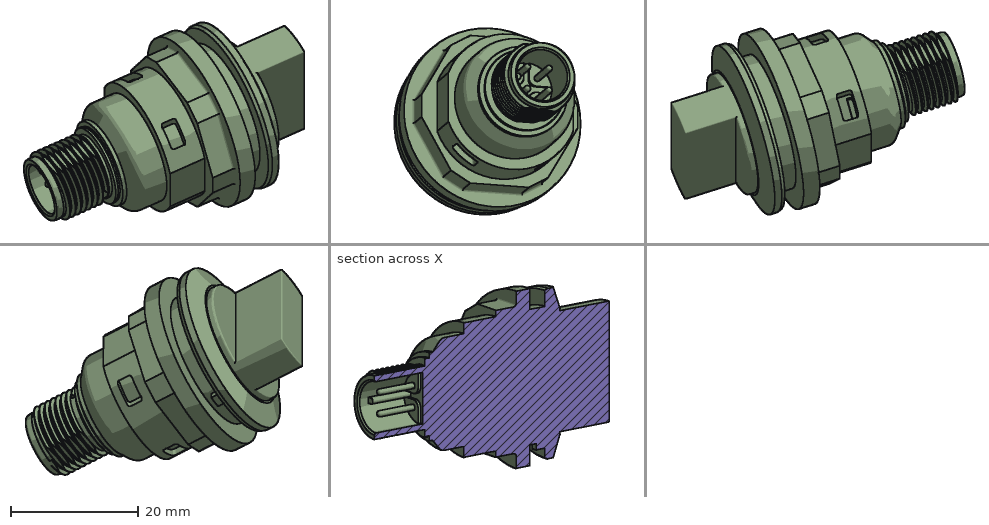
import cadquery as cq
import math


PLUG_TIP_R = 5.3
PLUG_TIP_CHAMFER_R = 0.1
PLUG_TIP_CHAMFER_LENGTH = 0.38
THREAD_ROOT_R = 5.22
THREAD_CREST_R = 5.88
THREAD_PITCH = 1.0
THREAD_TURNS = 7.75
THREAD_START_Y = 1.25
THREAD_ROOT_WIDTH = 0.85
THREAD_CREST_WIDTH = 0.1
THREAD_OVERLAP = 0.15
THREAD_START_ANGLE = 90
TIP_COLLAR_END_Y = 1.2
RELIEF_R = 5.4
RELIEF_START_Y = 9.4
RELIEF_END_Y = 9.95
PLUG_FLAT_HALF = 5.23

BORE_R = 8.3 / 2
BORE_DEPTH = 9.0
MOUTH_CHAMFER = 0.3
PIN_R = 0.5
PIN_SPACING = 3.54
PIN_TIP_Y = 2.0
GROOVE_DEPTH = 0.5
GROOVE_WIDTH_X = 1.0
GROOVE_WIDTH_Z = 0.84
GROOVE_CORNER_R = 1.2
KEY_WIDTH = 1.0
KEY_INNER_X = -2.97

STEP_1_R = 13.0 / 2
STEP_1_END_Y = 10.45
STEP_GROOVE_R = 6.4
STEP_GROOVE_END_Y = 10.8
STEP_2_R = 14.48 / 2
DOME_R = 18.5 / 2
DOME_ARC_R = 1.5
DOME_ARC_ANGLE = math.radians(50)
DOME_ARC_START_Y = 13.9
DOME_END_Y = 17.65

BODY_R = 11.0
BODY_FLAT_HALF = 10.25
HEX_START_Y = 23.95
WINDOW_X_MIN = 4.96
WINDOW_X_MAX = 8.46
WINDOW_Y_MIN = 19.05
WINDOW_Y_MAX = 21.65
WINDOW_CORNER_R = 0.4
WINDOW_FLOOR_R = 9.95
NOTCH_LENGTH_X = 3.05
NOTCH_WIDTH_Y = 0.9
NOTCH_DEPTH = 0.4

HEX_APOTHEM = 12.0
HEX_CORNER_APOTHEM = 12.8
HEX_FILLET = 0.45
FLANGE_R = 29.0 / 2
FLANGE_START_Y = 27.95
FLANGE_END_Y = 30.7

NECK_R = 22.2 / 2
LUG_WIDTH = 2.0
LUG_LENGTH = 1.65
LUG_OUTER_R = 12.1

COVER_R = 27.9 / 2
COVER_START_Y = 33.55
COVER_CHAMFER_R = 27.4 / 2
COVER_CHAMFER_END_Y = 34.15
COVER_CONE_START_Y = 35.33
COVER_CONE_END_Y = 36.65
COVER_CONE_TOP_R = 10.3
KNOB_R = 19.85 / 2
KNOB_DISC_TOP_Y = 37.8
KNOB_DISC_FILLET = 0.3
HANDLE_WIDTH = 6.3
HANDLE_FILLET = 0.2
TOTAL_LENGTH = 46.35


def cylinder(radius, y_start, y_end, x=0, z=0):
    """Cylinder along Y between two stations."""
    axis_start = cq.Vector(x, y_start, z)
    return cq.Workplane(cq.Solid.makeCylinder(radius, y_end - y_start, axis_start, cq.Vector(0, 1, 0)))


def block(x_range, y_range, z_range):
    """Box given by its limits on each axis."""
    sizes = [limits[1] - limits[0] for limits in (x_range, y_range, z_range)]
    corner = (x_range[0], y_range[0], z_range[0])
    return cq.Workplane("XY").box(*sizes, centered=False).translate(corner)


def make_thread_ridge():
    """Single right-hand helical ridge, its root sunk slightly into the core."""
    base_r = THREAD_ROOT_R - THREAD_OVERLAP
    height = THREAD_PITCH * THREAD_TURNS
    path = cq.Wire.makeHelix(THREAD_PITCH, height, base_r)
    half_root = THREAD_ROOT_WIDTH / 2
    half_crest = THREAD_CREST_WIDTH / 2
    section = [
        (base_r, -half_root),
        (THREAD_CREST_R, -half_crest),
        (THREAD_CREST_R, half_crest),
        (base_r, half_root),
    ]
    ridge = cq.Workplane("XZ").polyline(section).close().sweep(cq.Workplane(path), isFrenet=True)
    ridge = ridge.rotate((0, 0, 0), (0, 0, 1), THREAD_START_ANGLE)
    ridge = ridge.rotate((0, 0, 0), (1, 0, 0), -90)
    return ridge.translate((0, THREAD_START_Y, 0))


def make_plug():
    """Threaded core with a chamfered tip and two flats across Z."""
    plug = cylinder(THREAD_ROOT_R, PLUG_TIP_CHAMFER_LENGTH, RELIEF_END_Y)
    tip = cylinder(PLUG_TIP_R, 0, TIP_COLLAR_END_Y)
    tip = tip.faces("<Y").edges().chamfer(PLUG_TIP_CHAMFER_LENGTH, PLUG_TIP_CHAMFER_R)
    plug = plug.union(tip)
    plug = plug.union(cylinder(RELIEF_R, RELIEF_START_Y, RELIEF_END_Y))
    plug = plug.union(make_thread_ridge())
    across = (-THREAD_CREST_R - 1, THREAD_CREST_R + 1)
    between_flats = block(across, (0, RELIEF_END_Y), (-PLUG_FLAT_HALF, PLUG_FLAT_HALF))
    return plug.intersect(between_flats)


def make_turned_body():
    """Steps, dome, body, flange, neck and cover as one revolved profile."""
    arc_center_r = DOME_R - DOME_ARC_R
    half_angle = DOME_ARC_ANGLE / 2
    arc_mid = (
        arc_center_r + DOME_ARC_R * math.cos(half_angle),
        DOME_ARC_START_Y - DOME_ARC_R * math.sin(half_angle),
    )
    arc_end = (
        arc_center_r + DOME_ARC_R * math.cos(DOME_ARC_ANGLE),
        DOME_ARC_START_Y - DOME_ARC_R * math.sin(DOME_ARC_ANGLE),
    )
    cone_end_y = arc_end[1] - (arc_end[0] - STEP_2_R) / math.tan(DOME_ARC_ANGLE)
    return (
        cq.Workplane("XY")
        .moveTo(0, RELIEF_END_Y)
        .lineTo(STEP_1_R, RELIEF_END_Y)
        .lineTo(STEP_1_R, STEP_1_END_Y)
        .lineTo(STEP_GROOVE_R, STEP_1_END_Y)
        .lineTo(STEP_GROOVE_R, STEP_GROOVE_END_Y)
        .lineTo(STEP_2_R, STEP_GROOVE_END_Y)
        .lineTo(STEP_2_R, cone_end_y)
        .lineTo(*arc_end)
        .threePointArc(arc_mid, (DOME_R, DOME_ARC_START_Y))
        .lineTo(DOME_R, FLANGE_START_Y)
        .lineTo(FLANGE_R, FLANGE_START_Y)
        .lineTo(FLANGE_R, FLANGE_END_Y)
        .lineTo(NECK_R, FLANGE_END_Y)
        .lineTo(NECK_R, COVER_START_Y)
        .lineTo(COVER_CHAMFER_R, COVER_START_Y)
        .lineTo(COVER_R, COVER_CHAMFER_END_Y)
        .lineTo(COVER_R, COVER_CONE_START_Y)
        .lineTo(COVER_CONE_TOP_R, COVER_CONE_END_Y)
        .lineTo(0, COVER_CONE_END_Y)
        .close()
        .revolve(360, (0, 0, 0), (0, 1, 0))
    )


def hex_prism(apothem, first_normal_angle):
    """Hexagonal prism along Y, one side facing the given angle from +X toward +Z."""
    corner_r = apothem / math.cos(math.pi / 6)
    corners = []
    for index in range(6):
        angle = math.radians(first_normal_angle + 30 + 60 * index)
        corners.append((corner_r * math.cos(angle), corner_r * math.sin(angle)))
    prism = cq.Workplane("XZ").polyline(corners).close().extrude(-(FLANGE_START_Y - HEX_START_Y))
    return prism.translate((0, HEX_START_Y, 0))


def add_hexagon(part):
    """Hexagon with flat-cut corners, filleted into the flange."""
    hexagon = hex_prism(HEX_APOTHEM, 90).intersect(hex_prism(HEX_CORNER_APOTHEM, 0))
    part = part.union(hexagon)
    margin = 0.01
    outer = HEX_CORNER_APOTHEM + 1
    seam = cq.selectors.BoxSelector(
        (-outer, FLANGE_START_Y - margin, -outer),
        (outer, FLANGE_START_Y + margin, outer),
        boundingbox=True,
    )
    return part.edges(seam).fillet(HEX_FILLET)


def make_window_cutter(side_x, side_z):
    """Rounded opening cut along Z down to a cylindrical floor."""
    center_x = side_x * (WINDOW_X_MIN + WINDOW_X_MAX) / 2
    center_y = (WINDOW_Y_MIN + WINDOW_Y_MAX) / 2
    cutter = (
        cq.Workplane("XY")
        .center(center_x, center_y)
        .rect(WINDOW_X_MAX - WINDOW_X_MIN, WINDOW_Y_MAX - WINDOW_Y_MIN)
        .extrude(side_z * BODY_R)
        .edges("|Z")
        .fillet(WINDOW_CORNER_R)
    )
    return cutter.cut(cylinder(WINDOW_FLOOR_R, WINDOW_Y_MIN, WINDOW_Y_MAX))


def make_window_notch():
    """Shallow recess in the floor of the upper -X window, along its -Y wall."""
    x_range = (-WINDOW_X_MAX, -WINDOW_X_MAX + NOTCH_LENGTH_X)
    y_range = (WINDOW_Y_MIN, WINDOW_Y_MIN + NOTCH_WIDTH_Y)
    notch = block(x_range, y_range, (0, BODY_R))
    notch = notch.edges(">X and <Y and |Z").fillet(WINDOW_CORNER_R)
    ring = cylinder(WINDOW_FLOOR_R, *y_range).cut(cylinder(WINDOW_FLOOR_R - NOTCH_DEPTH, *y_range))
    return notch.intersect(ring)


def make_body():
    """Round body with two side flats."""
    body = cylinder(BODY_R, DOME_END_Y, HEX_START_Y)
    body = body.intersect(
        block((-BODY_FLAT_HALF, BODY_FLAT_HALF), (DOME_END_Y, HEX_START_Y), (-BODY_R, BODY_R))
    )
    return body


def cut_windows(part):
    """Four windows, mirrored across X and Z, and the notch in one of them."""
    for side_x in (-1, 1):
        for side_z in (-1, 1):
            part = part.cut(make_window_cutter(side_x, side_z))
    return part.cut(make_window_notch())


def make_knob():
    """Knob disc carrying a bar handle with rounded edges."""
    disc = cylinder(KNOB_R, COVER_CONE_END_Y, KNOB_DISC_TOP_Y)
    disc = disc.faces(">Y").edges().fillet(KNOB_DISC_FILLET)
    handle = cylinder(KNOB_R, COVER_CONE_END_Y, TOTAL_LENGTH)
    half = HANDLE_WIDTH / 2
    handle = handle.intersect(
        block((-half, half), (COVER_CONE_END_Y, TOTAL_LENGTH), (-KNOB_R, KNOB_R))
    )
    handle = handle.faces("<X or >X or >Y").edges("not(<Y)").fillet(HANDLE_FILLET)
    return disc.union(handle)


def make_lug():
    """Locating lug under the cover on the -Z side of the neck."""
    half = LUG_WIDTH / 2
    return block((-half, half), (COVER_START_Y - LUG_LENGTH, COVER_START_Y), (-LUG_OUTER_R, -NECK_R + 1))


def cut_socket(part):
    """Bore with a chamfered mouth and a cross groove in its floor."""
    bore = cylinder(BORE_R, 0, BORE_DEPTH)
    mouth = cq.Workplane(
        cq.Solid.makeCone(
            BORE_R + MOUTH_CHAMFER, BORE_R, MOUTH_CHAMFER, cq.Vector(0, 0, 0), cq.Vector(0, 1, 0)
        )
    )
    y_range = (BORE_DEPTH, BORE_DEPTH + GROOVE_DEPTH)
    reach = (-BORE_R, BORE_R)
    arm_x = block(reach, y_range, (-GROOVE_WIDTH_X / 2, GROOVE_WIDTH_X / 2))
    arm_z = block((-GROOVE_WIDTH_Z / 2, GROOVE_WIDTH_Z / 2), y_range, reach)
    cross = arm_x.union(arm_z)
    inner = cq.selectors.BoxSelector((-1, 0, -1), (1, BORE_DEPTH + 1, 1))
    cross = cross.edges("|Y").edges(inner).fillet(GROOVE_CORNER_R)
    cross = cross.intersect(cylinder(BORE_R, *y_range))
    return part.cut(bore).cut(mouth).cut(cross)


def add_contacts(part):
    """Four round-nosed pins and the coding key on the -X wall."""
    root_y = BORE_DEPTH + GROOVE_DEPTH
    for side_x in (-1, 1):
        for side_z in (-1, 1):
            x = side_x * PIN_SPACING / 2
            z = side_z * PIN_SPACING / 2
            pin = cylinder(PIN_R, PIN_TIP_Y, root_y, x, z).faces("<Y").edges().fillet(PIN_R * 0.98)
            part = part.union(pin)
    half = KEY_WIDTH / 2
    nose_x = KEY_INNER_X - half
    key = block((-BORE_R - half, nose_x), (PIN_TIP_Y, root_y), (-half, half))
    key = key.union(cylinder(half, PIN_TIP_Y, root_y, nose_x))
    return part.union(key)


result = add_hexagon(make_turned_body())
result = cut_windows(result.union(make_body()))
result = result.union(make_knob()).union(make_lug()).union(make_plug())
result = add_contacts(cut_socket(result))